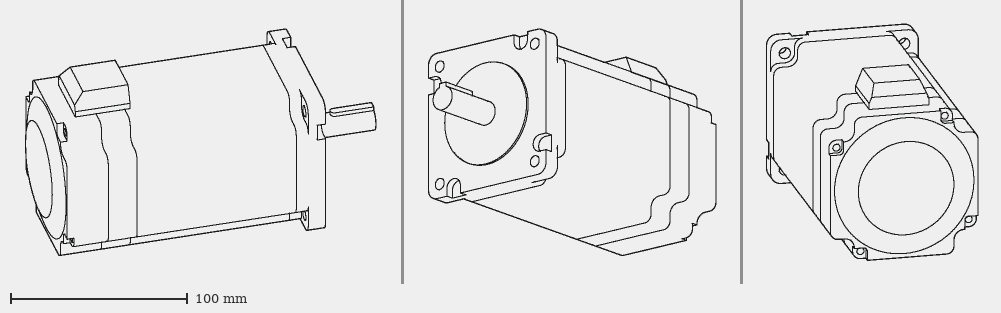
import cadquery as cq


WIDTH = 86.0
HALF = WIDTH / 2
HOLE_SPACING = 69.5
MOUNT_HOLE_DIAMETER = 6.5
CORNER_RADIUS = 6.0
RELIEF_SIZE = 14.0
RELIEF_CORNER_RADIUS = RELIEF_SIZE - (WIDTH - HOLE_SPACING) / 2
RELIEF_LIP_RADIUS = 4.5

EAR_THICKNESS = 10.2
FLANGE_LENGTH = 17.3
STATOR_LENGTH = 93.7
SPACER_LENGTH = 16.9
COVER_LENGTH = 24.2
DOME_HEIGHT = 4.5

PILOT_DIAMETER = 60.0
PILOT_HEIGHT = 1.4
NOTCH_WIDTH = 9.8
NOTCH_DEPTH = 5.0

SCREW_INSET = RELIEF_LIP_RADIUS
SCREW_OFFSET = HALF - RELIEF_SIZE - RELIEF_LIP_RADIUS
SEAT_SIZE = 7.7
SEAT_DEPTH = 4.0
SEAT_CORNER_RADIUS = 2.5
SCREW_HOLE_DIAMETER = 4.1

DOME_BASE_DIAMETER = 81.4
DOME_TOP_DIAMETER = 55.8

SHAFT_DIAMETER = 14.0
SHAFT_LENGTH = 38.5
KEY_WIDTH = 5.0
KEY_LENGTH = 25.2
KEY_HEIGHT = 2.0

CONNECTOR_WIDTH = 35.0
CONNECTOR_TOP_WIDTH = 26.7
CONNECTOR_HEIGHT = 13.5
CONNECTOR_BASE_HEIGHT = 3.5
CONNECTOR_LENGTH = 32.2
CONNECTOR_REAR_GAP = 12.0
CONNECTOR_CHAMFER_LENGTH = 5.7
CONNECTOR_CHAMFER_HEIGHT = 6.5

EAR_BACK_Y = -EAR_THICKNESS
STATOR_Y = -FLANGE_LENGTH
SPACER_Y = STATOR_Y - STATOR_LENGTH
COVER_Y = SPACER_Y - SPACER_LENGTH
REAR_Y = COVER_Y - COVER_LENGTH


def plane_at(y):
    """Sketch plane at y: local x is X, local y is Z, extrusion goes towards -Y."""
    return cq.Workplane("XZ", origin=(0, y, 0))


def quarter_turns(shape):
    """The shape at each of the four sides, turned about the motor axis."""
    return [shape.rotate((0, 0, 0), (0, 1, 0), 90 * turn) for turn in range(4)]


def cut_all(body, cutters):
    for cutter in cutters:
        body = body.cut(cutter)
    return body


def rounded_bar(front_y, width, height, length, radius):
    """Rectangular bar along Y with its four long edges rounded."""
    return plane_at(front_y).rect(width, height).extrude(length).edges("|Y").fillet(radius)


def relieved_section(front_y, length):
    """Square bar with a rounded relief along each of its four corners, made as two crossed slabs."""
    core_width = WIDTH - 2 * RELIEF_SIZE
    tall_slab = rounded_bar(front_y, core_width, WIDTH, length, RELIEF_LIP_RADIUS)
    wide_slab = rounded_bar(front_y, WIDTH, core_width, length, RELIEF_LIP_RADIUS)
    reach = core_width / 2 + RELIEF_LIP_RADIUS / 2
    inner_corners = cq.selectors.BoxSelector(
        (-reach, front_y - length, -reach), (reach, front_y, reach)
    )
    return tall_slab.union(wide_slab).edges("|Y").edges(inner_corners).fillet(RELIEF_CORNER_RADIUS)


def make_flange():
    ears = (
        rounded_bar(0, WIDTH, WIDTH, EAR_THICKNESS, CORNER_RADIUS)
        .faces("<Y")
        .workplane()
        .rect(HOLE_SPACING, HOLE_SPACING, forConstruction=True)
        .vertices()
        .hole(MOUNT_HOLE_DIAMETER)
    )
    pilot = plane_at(PILOT_HEIGHT).circle(PILOT_DIAMETER / 2).extrude(PILOT_HEIGHT)
    flange = ears.union(pilot).union(relieved_section(EAR_BACK_Y, FLANGE_LENGTH - EAR_THICKNESS))

    notch_end = (
        plane_at(0)
        .center(-SCREW_OFFSET, HALF - SCREW_INSET)
        .circle(NOTCH_WIDTH / 2)
        .extrude(NOTCH_DEPTH)
    )
    notch_mouth = (
        plane_at(0)
        .center(-SCREW_OFFSET, HALF)
        .rect(NOTCH_WIDTH, 2 * SCREW_INSET)
        .extrude(NOTCH_DEPTH)
    )
    return cut_all(flange, quarter_turns(notch_end.union(notch_mouth)))


def make_cover():
    cover = relieved_section(COVER_Y, COVER_LENGTH)
    dome = (
        plane_at(REAR_Y)
        .circle(DOME_BASE_DIAMETER / 2)
        .workplane(offset=DOME_HEIGHT)
        .circle(DOME_TOP_DIAMETER / 2)
        .loft()
    )

    seat = (
        plane_at(REAR_Y + SEAT_DEPTH)
        .center(HALF - RELIEF_SIZE, HALF)
        .rect(2 * SEAT_SIZE, 2 * SEAT_SIZE)
        .extrude(SEAT_DEPTH)
        .edges("|Y")
        .fillet(SEAT_CORNER_RADIUS)
    )
    screw_hole = (
        plane_at(COVER_Y)
        .center(SCREW_OFFSET, HALF - SCREW_INSET)
        .circle(SCREW_HOLE_DIAMETER / 2)
        .extrude(COVER_LENGTH)
    )
    return cut_all(cover, quarter_turns(seat.union(screw_hole))).union(dome)


def make_shaft():
    tip_y = PILOT_HEIGHT + SHAFT_LENGTH
    shaft = plane_at(tip_y).circle(SHAFT_DIAMETER / 2).extrude(SHAFT_LENGTH)
    key_round_y = tip_y - KEY_LENGTH + KEY_WIDTH / 2
    key = (
        cq.Workplane("XY")
        .moveTo(-KEY_WIDTH / 2, tip_y)
        .lineTo(-KEY_WIDTH / 2, key_round_y)
        .threePointArc((0, tip_y - KEY_LENGTH), (KEY_WIDTH / 2, key_round_y))
        .lineTo(KEY_WIDTH / 2, tip_y)
        .close()
        .extrude(SHAFT_DIAMETER / 2 + KEY_HEIGHT)
    )
    return shaft.union(key)


def make_connector():
    rear_y = REAR_Y + CONNECTOR_REAR_GAP
    top_z = HALF + CONNECTOR_HEIGHT
    shoulder_z = HALF + CONNECTOR_BASE_HEIGHT
    box = (
        plane_at(rear_y + CONNECTOR_LENGTH)
        .moveTo(-CONNECTOR_WIDTH / 2, HALF)
        .lineTo(-CONNECTOR_WIDTH / 2, shoulder_z)
        .lineTo(-CONNECTOR_TOP_WIDTH / 2, top_z)
        .lineTo(CONNECTOR_TOP_WIDTH / 2, top_z)
        .lineTo(CONNECTOR_WIDTH / 2, shoulder_z)
        .lineTo(CONNECTOR_WIDTH / 2, HALF)
        .close()
        .extrude(CONNECTOR_LENGTH)
    )
    rear_slope = (
        cq.Workplane("YZ")
        .moveTo(rear_y, top_z)
        .lineTo(rear_y + CONNECTOR_CHAMFER_LENGTH, top_z)
        .lineTo(rear_y, top_z - CONNECTOR_CHAMFER_HEIGHT)
        .close()
        .extrude(CONNECTOR_WIDTH / 2, both=True)
    )
    return box.cut(rear_slope)


flange = make_flange()
stator = relieved_section(STATOR_Y, STATOR_LENGTH)
spacer = relieved_section(SPACER_Y, SPACER_LENGTH)
cover = make_cover()
shaft = make_shaft()
connector = make_connector()

result = cq.Compound.makeCompound(
    [flange.val(), stator.val(), spacer.val(), cover.val(), shaft.val(), connector.val()]
)